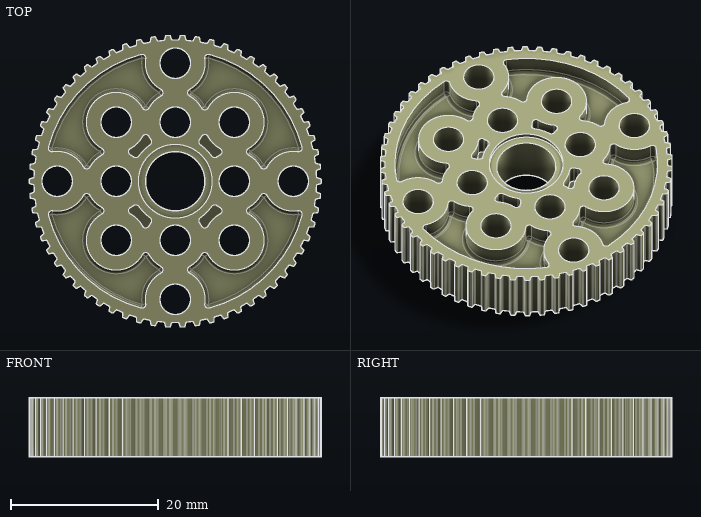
import math

import cadquery as cq

tooth_count = 62
belt_pitch = 2.032
pitch_line_offset = 0.254
outer_radius = tooth_count * belt_pitch / (2 * math.pi) - pitch_line_offset
height = 8.0

groove_depth = 0.635
groove_root_width = 0.94
groove_flank_angle = 20.0
groove_edge_radius = 0.13
groove_overrun = 0.3

grid = 8.0
hole_diameter = 4.1
hole_wall = 2.0
boss_radius = hole_diameter / 2 + hole_wall

bore_diameter = 8.0
counterbore_diameter = 10.0
counterbore_depth = 0.7
hub_wall = 1.0
hub_radius = counterbore_diameter / 2 + hub_wall

rim_inner_radius = 17.8
pocket_depth = 3.0
slot_depth = pocket_depth
corner_radius = 0.5
floor_fillet = 0.499

QUARTER_TURNS = (0, 90, 180, 270)
hole_points = [
    (column * grid, row * grid)
    for column in range(-2, 3)
    for row in range(-2, 3)
    if 0 < column**2 + row**2 <= 4
]


def disc(radius, bottom, thickness, center=(0, 0)):
    return cq.Workplane("XY", origin=(center[0], center[1], bottom)).circle(radius).extrude(thickness)


def toothed_blank():
    """Cylinder with trapezoidal belt grooves all round, rounded at the roots and the tooth tips."""
    root_y = outer_radius - groove_depth
    top_y = outer_radius + groove_overrun
    half_root = groove_root_width / 2
    half_top = half_root + (top_y - root_y) * math.tan(math.radians(groove_flank_angle))
    groove = (
        cq.Workplane("XY")
        .polyline([(-half_root, root_y), (half_root, root_y), (half_top, top_y), (-half_top, top_y)])
        .close()
        .extrude(height)
        .val()
    )
    pitch_angle = 360 / tooth_count
    grooves = [groove.rotate((0, 0, 0), (0, 0, 1), i * pitch_angle) for i in range(tooth_count)]
    toothed = disc(outer_radius, 0, height).cut(cq.Workplane("XY").newObject(grooves))
    return toothed.edges("|Z").fillet(groove_edge_radius)


def keep_bosses(region, floor, depth):
    """Trim a recess in the +X +Y quadrant so that it leaves a boss around every hole."""
    for x, y in hole_points:
        if x >= 0 and y >= 0:
            region = region.cut(disc(boss_radius, floor, depth, (x, y)))
    return region


def quadrant_square(size, floor, depth):
    return cq.Workplane("XY", origin=(0, 0, floor)).rect(size, size, centered=False).extrude(depth)


def largest_solid(region):
    """Keep the main piece of a recess, dropping pieces that the overlapping bosses split off."""
    return region.newObject([max(region.solids().vals(), key=lambda solid: solid.Volume())])


def rim_pocket():
    """Pocket between the rim and the bosses, with a rounded floor edge."""
    floor = height - pocket_depth
    region = quadrant_square(rim_inner_radius, floor, pocket_depth)
    region = region.intersect(disc(rim_inner_radius, floor, pocket_depth))
    region = keep_bosses(region, floor, pocket_depth)
    pocket = largest_solid(region).edges("|Z").fillet(corner_radius)
    return pocket.faces("<Z").edges().fillet(floor_fillet)


def hub_slot():
    """Small recess between the hub and the three nearest bosses."""
    floor = height - slot_depth
    region = quadrant_square(grid, floor, slot_depth)
    region = region.cut(disc(hub_radius, floor, slot_depth))
    region = keep_bosses(region, floor, slot_depth)
    return largest_solid(region).edges("|Z").fillet(corner_radius)


def cut_in_each_quadrant(part, recess):
    for angle in QUARTER_TURNS:
        part = part.cut(recess.rotate((0, 0, 0), (0, 0, 1), angle))
    return part


result = toothed_blank()
result = cut_in_each_quadrant(result, rim_pocket())
result = cut_in_each_quadrant(result, hub_slot())
for point in hole_points:
    result = result.cut(disc(hole_diameter / 2, 0, height, point))
result = result.cut(disc(bore_diameter / 2, 0, height))
result = result.cut(disc(counterbore_diameter / 2, height - counterbore_depth, counterbore_depth))